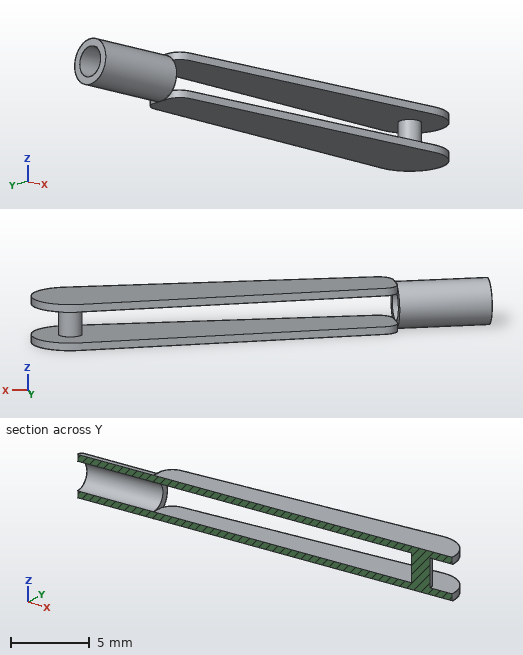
import cadquery as cq
import math

total_length = 29.5
tube_length = 6.0
tube_diameter = 3.0
bore_diameter = 2.0
plate_thickness = 0.5
plate_width = 5.0
heel_half_width = 1.62
heel_corner_radius = 1.0
pin_diameter = 1.5

tip_radius = plate_width / 2
tip_center_x = total_length - tip_radius
plate_gap = tube_diameter - 2 * plate_thickness


def make_tube():
    """Hollow socket along X, starting at X = 0."""
    return (
        cq.Workplane("YZ")
        .circle(tube_diameter / 2)
        .circle(bore_diameter / 2)
        .extrude(tube_length)
    )


def make_plate(bottom_z):
    """Tapered plate whose straight sides run tangent into a round tip."""
    run = tip_center_x - tube_length
    heel_distance = math.hypot(run, heel_half_width)
    heel_direction = math.pi - math.atan2(heel_half_width, run)
    tangent_angle = heel_direction - math.acos(tip_radius / heel_distance)
    tangent_x = tip_center_x + tip_radius * math.cos(tangent_angle)
    tangent_y = tip_radius * math.sin(tangent_angle)
    return (
        cq.Workplane("XY", origin=(0, 0, bottom_z))
        .moveTo(tube_length, -heel_half_width)
        .lineTo(tangent_x, -tangent_y)
        .threePointArc((total_length, 0), (tangent_x, tangent_y))
        .lineTo(tube_length, heel_half_width)
        .close()
        .extrude(plate_thickness)
        .edges("|Z and <X")
        .fillet(heel_corner_radius)
    )


def make_pin():
    """Round spacer joining the two plates at the centre of the tip."""
    return (
        cq.Workplane("XY", origin=(tip_center_x, 0, -plate_gap / 2))
        .circle(pin_diameter / 2)
        .extrude(plate_gap)
    )


lower_plate = make_plate(-tube_diameter / 2)
upper_plate = make_plate(plate_gap / 2)
result = make_tube().union(lower_plate).union(upper_plate).union(make_pin())